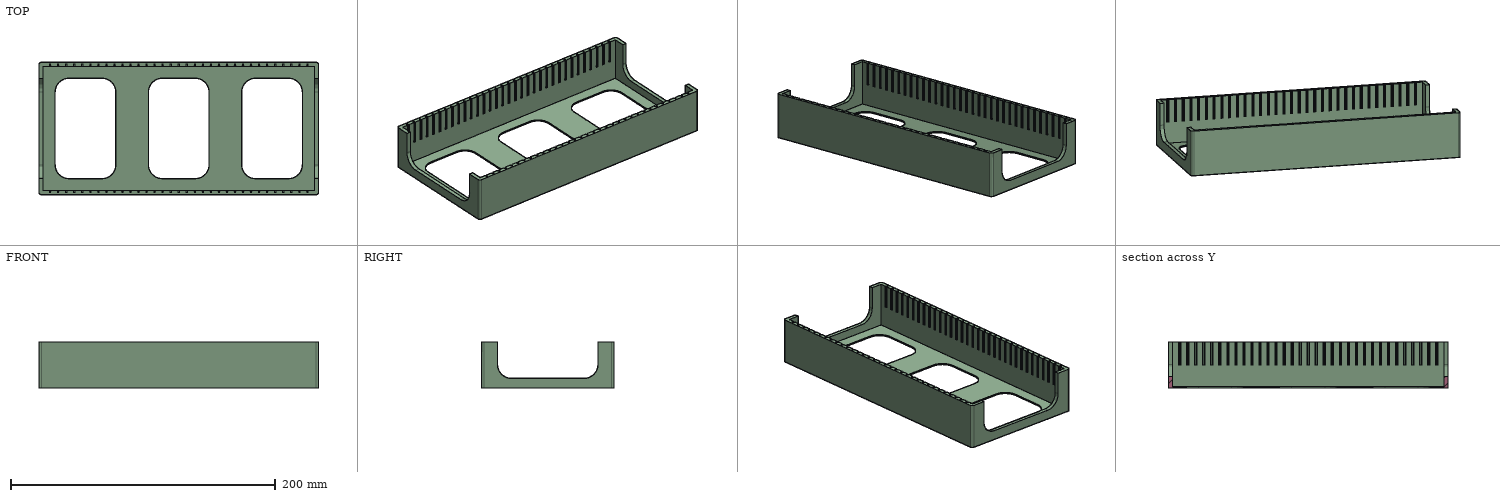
import cadquery as cq
LENGTH = 211.9
WIDTH = 100.5
HEIGHT = 35.0
WALL = 3.2
FLOOR = 1.0
CORNER_RADIUS = 2.0

WINDOW_COUNT = 3
WINDOW_PITCH = LENGTH / WINDOW_COUNT
WINDOW_LENGTH = 45.8
OPENING_WIDTH = 75.9
OPENING_RADIUS = 10.4

SILL_HEIGHT = 7.5

SLOT_COUNT = 33
SLOT_SPAN = 194.7
SLOT_PITCH = SLOT_SPAN / (SLOT_COUNT - 1)
SLOT_WIDTH = 0.8
MOUTH_WIDTH = 1.7
FLARE_DEPTH = 0.5
SLOT_DEPTH = 1.59
SLOT_HEIGHT = 17.4

INNER_LENGTH = LENGTH - 2 * WALL
INNER_WIDTH = WIDTH - 2 * WALL


def make_tray():
    """Open-topped box with rounded outer corners and square inner corners."""
    base_aligned = (True, True, False)
    outside = cq.Workplane("XY").box(LENGTH, WIDTH, HEIGHT, centered=base_aligned)
    outside = outside.edges("|Z").fillet(CORNER_RADIUS)
    cavity = (
        cq.Workplane("XY")
        .workplane(offset=FLOOR)
        .box(INNER_LENGTH, INNER_WIDTH, HEIGHT, centered=base_aligned)
    )
    return outside.cut(cavity)


def make_windows():
    """Rounded rectangular openings through the floor, in a row along X."""
    return (
        cq.Workplane("XY")
        .rarray(WINDOW_PITCH, 2.1, WINDOW_COUNT, 1)
        .rect(WINDOW_LENGTH, OPENING_WIDTH)
        .extrude(FLOOR)
        .edges("|Z")
        .fillet(OPENING_RADIUS)
    )


def make_end_cutout():
    """U-shaped opening through both end walls, open at the rim."""
    return (
        cq.Workplane("XY")
        .workplane(offset=SILL_HEIGHT)
        .box(LENGTH, OPENING_WIDTH, HEIGHT - SILL_HEIGHT, centered=(True, True, False))
        .edges("|X and <Z")
        .fillet(OPENING_RADIUS)
    )


def make_slot_cutter():
    """Slot cutter across the tray, flared where it breaks through each inner wall face."""
    half_slot = SLOT_WIDTH / 2
    half_mouth = MOUTH_WIDTH / 2
    face = INNER_WIDTH / 2
    flare_end = face + FLARE_DEPTH
    slot_end = face + SLOT_DEPTH
    return (
        cq.Workplane("XY")
        .workplane(offset=HEIGHT - SLOT_HEIGHT)
        .moveTo(half_mouth, -face)
        .lineTo(half_mouth, face)
        .lineTo(half_slot, flare_end)
        .lineTo(half_slot, slot_end)
        .lineTo(-half_slot, slot_end)
        .lineTo(-half_slot, flare_end)
        .lineTo(-half_mouth, face)
        .lineTo(-half_mouth, -face)
        .lineTo(-half_slot, -flare_end)
        .lineTo(-half_slot, -slot_end)
        .lineTo(half_slot, -slot_end)
        .lineTo(half_slot, -flare_end)
        .close()
        .extrude(SLOT_HEIGHT)
    )


def cut_slots(tray):
    """Cut the evenly spaced row of slots, centred along the length."""
    cutter = make_slot_cutter()
    for index in range(SLOT_COUNT):
        x = index * SLOT_PITCH - SLOT_SPAN / 2
        tray = tray.cut(cutter.translate((x, 0, 0)))
    return tray


tray = make_tray().cut(make_windows()).cut(make_end_cutout())
result = cut_slots(tray)